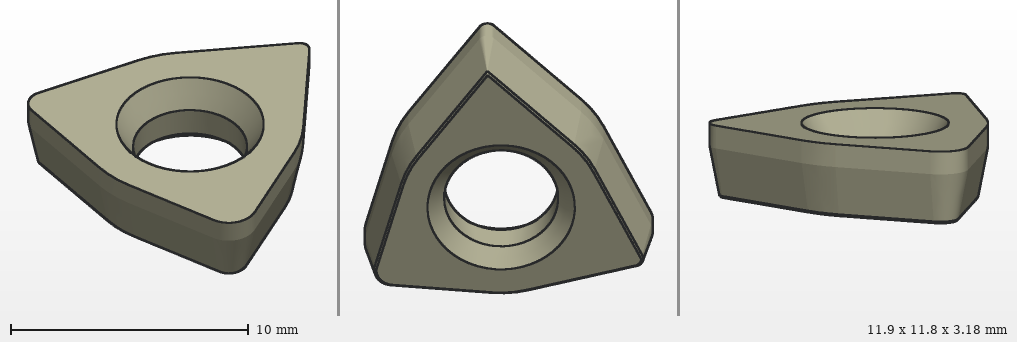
import cadquery as cq
import math

inscribed_radius = 4.76
corner_angles = (100, 220, 340)
corner_radii = (0.39, 0.79, 1.19)
corner_turn = 100
side_turn = 120 - corner_turn
sharpest_radius = 0.01

thickness = 3.18
band_height = 0.99
edge_height = 0.1
flank_inset = 0.4
edge_inset = 0.1

bore_radius = 2.4
mouth_radius = 3.1
seat_depth = 1.2
mouth_step = mouth_radius - bore_radius


def polar(radius, angle, center=(0, 0)):
    """Point at a radius and angle (degrees) from a center."""
    turn = math.radians(angle)
    return (center[0] + radius * math.cos(turn), center[1] + radius * math.sin(turn))


def outline(inset, z):
    """Closed wire of the insert, moved inward by an inset, at height z."""
    circle_radius = inscribed_radius - inset
    half_turn = corner_turn / 2
    sketch = cq.Workplane("XY", origin=(0, 0, z))
    sketch = sketch.moveTo(*polar(circle_radius, corner_angles[0] - half_turn))
    for angle, full_radius in zip(corner_angles, corner_radii):
        nose = max(full_radius - inset, sharpest_radius)
        center = polar((circle_radius - nose) / math.cos(math.radians(half_turn)), angle)
        sketch = sketch.lineTo(*polar(nose, angle - half_turn, center))
        sketch = sketch.threePointArc(
            polar(nose, angle, center),
            polar(nose, angle + half_turn, center),
        )
        side_start = angle + half_turn
        sketch = sketch.lineTo(*polar(circle_radius, side_start))
        sketch = sketch.threePointArc(
            polar(circle_radius, side_start + side_turn / 2),
            polar(circle_radius, side_start + side_turn),
        )
    return sketch.close().wire().val()


def layer(low_inset, low_z, high_inset, high_z):
    """Solid slice between two outlines."""
    wires = [outline(low_inset, low_z), outline(high_inset, high_z)]
    return cq.Workplane(cq.Solid.makeLoft(wires, True))


def screw_hole():
    """Bore with a conical seat at the top and a 45-degree countersink at the bottom."""
    profile = (
        cq.Workplane("XZ")
        .lineTo(mouth_radius, 0)
        .lineTo(bore_radius, mouth_step)
        .lineTo(bore_radius, thickness - seat_depth)
        .lineTo(mouth_radius, thickness)
        .lineTo(0, thickness)
        .close()
    )
    return profile.revolve(360, (0, 0, 0), (0, 1, 0))


band_bottom = thickness - band_height
edge = layer(flank_inset + edge_inset, 0, flank_inset, edge_height)
flanks = layer(flank_inset, edge_height, 0, band_bottom)
band = layer(0, band_bottom, 0, thickness)

result = edge.union(flanks).union(band).cut(screw_hole())